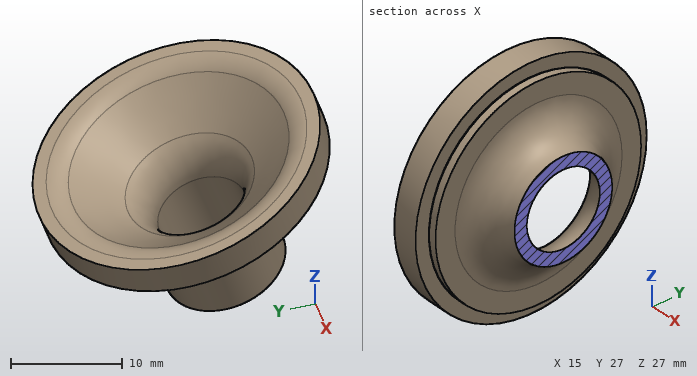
import cadquery as cq
import math

total_length = 15.0
flange_thickness = 3.0
step_thickness = 1.0

flange_radius = 27 / 2
step_radius = 24.0 / 2
tube_radius = 11.4 / 2
bore_radius = 8.4 / 2
flare_rim_radius = 12.23

groove_width = 0.08
groove_radius = 11.95

neck_blend = 4.05
throat_blend = 5.0
rim_blend = 3.0

step_end = flange_thickness + step_thickness
neck_end = step_end + neck_blend
throat_end = 8.0


def point_on_arc(center, radius, angle):
    """Point at an angle measured from the X axis in the profile plane."""
    return (
        center[0] + radius * math.cos(angle),
        center[1] + radius * math.sin(angle),
    )


def outer_body():
    """Flange, groove and step with a concave neck running into the tube."""
    neck_center = (neck_end, tube_radius + neck_blend)
    neck_middle = point_on_arc(neck_center, neck_blend, math.radians(225))
    return (
        cq.Workplane("XY")
        .lineTo(0, flange_radius)
        .lineTo(flange_thickness, flange_radius)
        .lineTo(flange_thickness, groove_radius)
        .lineTo(flange_thickness + groove_width, groove_radius)
        .lineTo(flange_thickness + groove_width, step_radius)
        .lineTo(step_end, step_radius)
        .lineTo(step_end, neck_center[1])
        .threePointArc(neck_middle, (neck_end, tube_radius))
        .lineTo(total_length, tube_radius)
        .lineTo(total_length, 0)
        .close()
        .revolve(360, (0, 0, 0), (1, 0, 0))
    )


def flared_bore():
    """Rounded rim, cone and rounded throat, all tangent, then a straight bore."""
    rim_center = (rim_blend, flare_rim_radius)
    throat_center = (throat_end, bore_radius + throat_blend)

    axial_gap = throat_center[0] - rim_center[0]
    radial_gap = rim_center[1] - throat_center[1]
    center_line_angle = math.atan2(radial_gap, axial_gap)
    radius_difference = throat_blend - rim_blend
    cone_angle = center_line_angle + math.asin(radius_difference / math.hypot(axial_gap, radial_gap))

    face_angle = math.pi
    bore_angle = 1.5 * math.pi
    cone_normal = bore_angle - cone_angle

    rim_middle = point_on_arc(rim_center, rim_blend, (face_angle + cone_normal) / 2)
    cone_start = point_on_arc(rim_center, rim_blend, cone_normal)
    cone_end = point_on_arc(throat_center, throat_blend, cone_normal)
    throat_middle = point_on_arc(throat_center, throat_blend, (cone_normal + bore_angle) / 2)
    return (
        cq.Workplane("XY")
        .lineTo(0, flare_rim_radius)
        .threePointArc(rim_middle, cone_start)
        .lineTo(*cone_end)
        .threePointArc(throat_middle, (throat_end, bore_radius))
        .lineTo(total_length, bore_radius)
        .lineTo(total_length, 0)
        .close()
        .revolve(360, (0, 0, 0), (1, 0, 0))
    )


result = outer_body().cut(flared_bore())